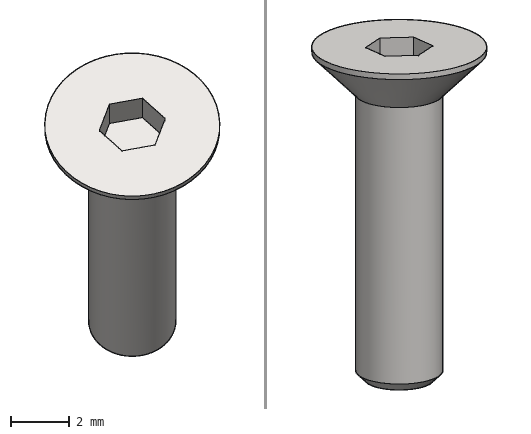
import cadquery as cq
import math

length = 12.0
shank_diameter = 3.0
head_diameter = 6.0
rim_height = 0.2
tip_chamfer = 0.32
socket_across_flats = 2.0
socket_depth = 1.15

shank_radius = shank_diameter / 2
head_radius = head_diameter / 2
cone_height = head_radius - shank_radius
rim_bottom = length - rim_height
cone_bottom = rim_bottom - cone_height
socket_across_corners = socket_across_flats / math.cos(math.pi / 6)


def screw_body():
    """Revolve the half profile of the tip, shank and countersunk head."""
    return (
        cq.Workplane("XZ")
        .moveTo(0, 0)
        .lineTo(shank_radius - tip_chamfer, 0)
        .lineTo(shank_radius, tip_chamfer)
        .lineTo(shank_radius, cone_bottom)
        .lineTo(head_radius, rim_bottom)
        .lineTo(head_radius, length)
        .lineTo(0, length)
        .close()
        .revolve(360, (0, 0, 0), (0, 1, 0))
    )


def hex_socket():
    """Flat-bottomed hexagonal socket with two corners on the X axis."""
    return (
        cq.Workplane("XY")
        .workplane(offset=length - socket_depth)
        .polygon(6, socket_across_corners)
        .extrude(socket_depth)
    )


result = screw_body().cut(hex_socket())